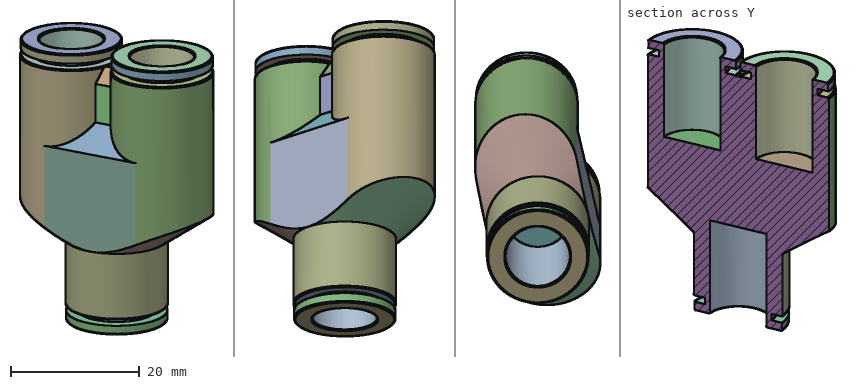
import cadquery as cq
import math

total_height = 44.5
body_dia = 16.0
branch_offset = 8.25

collar_height = 2.5
flange_thickness = 1.5
flange_dia = 15.8
neck_dia = 12.0
bore_dia = 10.0
bore_depth = 16.0
edge_chamfer = 0.2

block_top = 29.2
web_thickness = 8.2
web_taper_start = 39.4
web_taper_angle = 30.0
web_slope_angle = 45.0

cone_bottom = 13.3
cone_angle = 35.0

body_radius = body_dia / 2
body_bottom = collar_height
body_top = total_height - collar_height
half_web = web_thickness / 2
branch_positions = [(-branch_offset, 0), (branch_offset, 0)]


def make_cylinder(diameter, z_start, z_end):
    return cq.Workplane("XY").workplane(offset=z_start).circle(diameter / 2).extrude(z_end - z_start)


def make_collar():
    """Neck and flange standing on Z = 0, with the port facing +Z."""
    neck = make_cylinder(neck_dia, 0, collar_height)
    flange = make_cylinder(flange_dia, collar_height - flange_thickness, collar_height)
    return neck.union(flange.faces(">Z").edges().chamfer(edge_chamfer))


def make_bore():
    """Blind port bore with a chamfered mouth, for a collar standing on Z = 0."""
    bore = make_cylinder(bore_dia, collar_height - bore_depth, collar_height)
    mouth = (
        cq.Workplane("XY")
        .workplane(offset=collar_height)
        .circle(bore_dia / 2 + edge_chamfer)
        .workplane(offset=-edge_chamfer)
        .circle(bore_dia / 2)
        .loft(ruled=True)
    )
    return bore.union(mouth)


def place_on_ports(feature):
    """Copies of a port feature on both branches and, upside down, on the stem."""
    copies = [feature.translate((x, y, body_top)) for x, y in branch_positions]
    copies.append(feature.rotate((0, 0, 0), (1, 0, 0), 180).translate((0, 0, body_bottom)))
    return copies


def make_center_block():
    """Block with sloped shoulders and a tapered web, filling the space between the branch axes."""
    shoulder_rise = (body_radius - half_web) / math.tan(math.radians(web_slope_angle))
    taper_run = (body_top - web_taper_start) * math.tan(math.radians(web_taper_angle))
    side = [
        (body_radius, cone_bottom),
        (body_radius, block_top),
        (half_web, block_top + shoulder_rise),
        (half_web, web_taper_start),
        (half_web - taper_run, body_top),
    ]
    mirrored_side = [(-y, z) for y, z in reversed(side)]
    return cq.Workplane("YZ").polyline(side + mirrored_side).close().extrude(branch_offset, both=True)


def make_cone_envelope():
    """Solid of revolution about Z that keeps everything above the conical underside."""
    reach = branch_offset + body_dia
    cone_top = cone_bottom + (reach - body_radius) * math.tan(math.radians(cone_angle))
    profile = [
        (0, cone_bottom),
        (body_radius, cone_bottom),
        (reach, cone_top),
        (reach, total_height),
        (0, total_height),
    ]
    return cq.Workplane("XZ").polyline(profile).close().revolve(360, (0, 0, 0), (0, 1, 0))


def make_body():
    body = make_center_block()
    branch = make_cylinder(body_dia, cone_bottom, body_top).faces(">Z").edges().chamfer(edge_chamfer)
    rim_zone = make_cylinder(body_dia, block_top, body_top)
    for x, y in branch_positions:
        body = body.cut(rim_zone.translate((x, y, 0))).union(branch.translate((x, y, 0)))
    body = body.intersect(make_cone_envelope())
    stem = make_cylinder(body_dia, body_bottom, cone_bottom).faces("<Z").edges().chamfer(edge_chamfer)
    return body.union(stem)


result = make_body()
for collar in place_on_ports(make_collar()):
    result = result.union(collar)
for bore in place_on_ports(make_bore()):
    result = result.cut(bore)